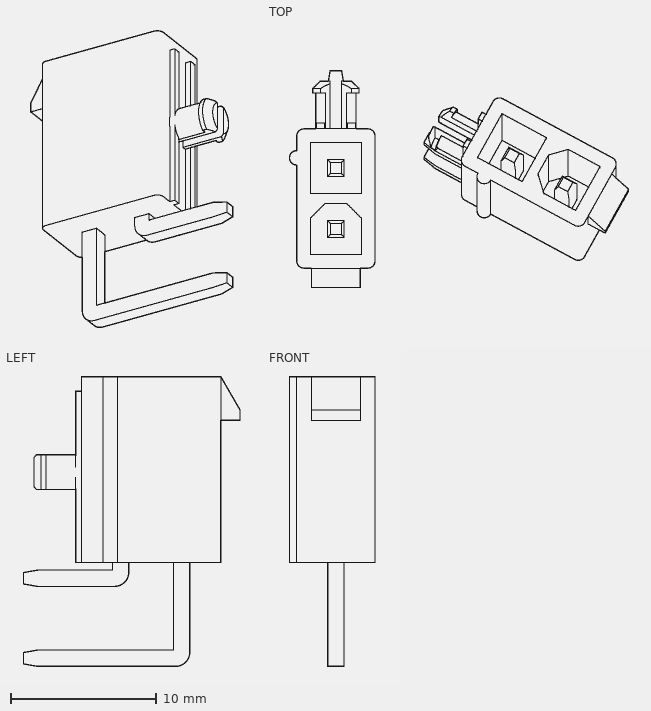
import cadquery as cq


HOUSING_WIDTH = 5.4
HOUSING_DEPTH = 9.6
HOUSING_HEIGHT = 12.8
CORNER_RADIUS = 0.5
BACK_Y = HOUSING_DEPTH / 2
FRONT_Y = -HOUSING_DEPTH / 2

CONTACT_PITCH = 4.2
REAR_CONTACT_Y = CONTACT_PITCH / 2
FRONT_CONTACT_Y = -CONTACT_PITCH / 2
CAVITY_SIZE = 3.5
CAVITY_DEPTH = 10.0
CAVITY_CHAMFER = 1.0

SIDE_RIB_RADIUS = 0.5
SIDE_RIB_SETBACK = 2.0
SIDE_RIB_Y = BACK_Y - SIDE_RIB_SETBACK

LATCH_WIDTH = 3.36
LATCH_PROJECTION = 1.33
LATCH_HEIGHT = 3.0
LATCH_NOSE_HEIGHT = 0.7

STANDOFF_INNER_X = 0.8
STANDOFF_OUTER_X = 1.35
STANDOFF_PROJECTION = 0.4
STANDOFF_HEIGHT = 11.8

PEG_Z = 6.23
PEG_SHANK_RADIUS = 1.4
PEG_HEAD_RADIUS = 1.6
PEG_TIP_RADIUS = 1.08
PEG_LENGTH = 3.27
PEG_HEAD_LENGTH = 0.82
PEG_TAPER_LENGTH = 0.5
PEG_FLAT_HEIGHT = 2.4
PEG_SLOT_WIDTH = 0.8

PIN_SIZE = 1.14
PIN_BEND_RADIUS = 1.0
PIN_RECESS = 3.0
PIN_TOP_Z = HOUSING_HEIGHT - PIN_RECESS
PIN_TOP_SIZE = 0.74
PIN_TOP_TAPER = 1.0
PIN_TAIL_OVERHANG = 4.0
PIN_TAIL_END_Y = BACK_Y + PIN_TAIL_OVERHANG
PIN_TAIL_SIZE = 0.8
PIN_TAIL_TAPER = 1.0
REAR_PIN_BOTTOM_Z = -1.64
TAIL_PITCH = 5.5
FRONT_PIN_BOTTOM_Z = REAR_PIN_BOTTOM_Z - TAIL_PITCH


def make_cavity(contact_y):
    """Square cavity centred on a contact."""
    return (
        cq.Workplane("XY", origin=(0, contact_y, HOUSING_HEIGHT - CAVITY_DEPTH))
        .rect(CAVITY_SIZE, CAVITY_SIZE)
        .extrude(CAVITY_DEPTH)
    )


def make_housing():
    """Rounded block with a plain rear cavity and a keyed front cavity."""
    block = (
        cq.Workplane("XY")
        .rect(HOUSING_WIDTH, HOUSING_DEPTH)
        .extrude(HOUSING_HEIGHT)
        .edges("|Z")
        .fillet(CORNER_RADIUS)
    )
    side_rib = (
        cq.Workplane("XY", origin=(-HOUSING_WIDTH / 2, SIDE_RIB_Y, 0))
        .circle(SIDE_RIB_RADIUS)
        .extrude(HOUSING_HEIGHT)
    )
    rear_cavity = make_cavity(REAR_CONTACT_Y)
    front_cavity = make_cavity(FRONT_CONTACT_Y).faces(">Y").edges("|Z").chamfer(CAVITY_CHAMFER)
    return block.union(side_rib).cut(rear_cavity).cut(front_cavity)


def make_latch():
    """Ramp that starts at the top front edge and ends in a blunt nose."""
    nose_y = FRONT_Y - LATCH_PROJECTION
    latch_bottom_z = HOUSING_HEIGHT - LATCH_HEIGHT
    return (
        cq.Workplane("YZ")
        .moveTo(FRONT_Y, HOUSING_HEIGHT)
        .lineTo(nose_y, latch_bottom_z + LATCH_NOSE_HEIGHT)
        .lineTo(nose_y, latch_bottom_z)
        .lineTo(FRONT_Y, latch_bottom_z)
        .close()
        .extrude(LATCH_WIDTH / 2, both=True)
    )


def make_standoffs():
    """Two upright ribs, mirrored about the middle of the back face."""
    rib_width = STANDOFF_OUTER_X - STANDOFF_INNER_X
    rib = (
        cq.Workplane("XY", origin=(STANDOFF_INNER_X, BACK_Y, 0))
        .box(rib_width, STANDOFF_PROJECTION, STANDOFF_HEIGHT, centered=False)
    )
    return rib.union(rib.mirror("YZ"))


def make_peg():
    """Turned peg along Y with a tapered head, two flats and a vertical slot."""
    head_start = PEG_LENGTH - PEG_HEAD_LENGTH
    taper_start = PEG_LENGTH - PEG_TAPER_LENGTH
    turned = (
        cq.Workplane("XY")
        .lineTo(PEG_SHANK_RADIUS, 0)
        .lineTo(PEG_SHANK_RADIUS, head_start)
        .lineTo(PEG_HEAD_RADIUS, head_start)
        .lineTo(PEG_HEAD_RADIUS, taper_start)
        .lineTo(PEG_TIP_RADIUS, PEG_LENGTH)
        .lineTo(0, PEG_LENGTH)
        .close()
        .revolve(360, (0, 0, 0), (0, 1, 0))
    )
    centred_across = (True, False, True)
    flats = cq.Workplane("XY").box(
        2 * PEG_HEAD_RADIUS, PEG_LENGTH, PEG_FLAT_HEIGHT, centered=centred_across
    )
    slot = cq.Workplane("XY").box(
        PEG_SLOT_WIDTH, PEG_LENGTH, PEG_FLAT_HEIGHT, centered=centred_across
    )
    return turned.intersect(flats).cut(slot).translate((0, BACK_Y, PEG_Z))


def make_taper(start_plane, end_size, length):
    """Square taper from the pin section down to a smaller square."""
    return (
        start_plane.rect(PIN_SIZE, PIN_SIZE)
        .workplane(offset=length)
        .rect(end_size, end_size)
        .loft(ruled=True)
    )


def make_pin(contact_y, bottom_z):
    """L-shaped pin: upright through the housing, tail running towards the back."""
    front_y = contact_y - PIN_SIZE / 2
    rear_y = contact_y + PIN_SIZE / 2
    tail_top_z = bottom_z + PIN_SIZE
    tail_taper_y = PIN_TAIL_END_Y - PIN_TAIL_TAPER
    top_taper_z = PIN_TOP_Z - PIN_TOP_TAPER
    bent_bar = (
        cq.Workplane("YZ")
        .moveTo(front_y, top_taper_z)
        .lineTo(front_y, bottom_z + PIN_BEND_RADIUS)
        .radiusArc((front_y + PIN_BEND_RADIUS, bottom_z), -PIN_BEND_RADIUS)
        .lineTo(tail_taper_y, bottom_z)
        .lineTo(tail_taper_y, tail_top_z)
        .lineTo(rear_y, tail_top_z)
        .lineTo(rear_y, top_taper_z)
        .close()
        .extrude(PIN_SIZE / 2, both=True)
    )
    top_plane = cq.Workplane("XY", origin=(0, contact_y, top_taper_z))
    tail_plane = cq.Workplane("ZX", origin=(0, tail_taper_y, bottom_z + PIN_SIZE / 2))
    top_point = make_taper(top_plane, PIN_TOP_SIZE, PIN_TOP_TAPER)
    tail_point = make_taper(tail_plane, PIN_TAIL_SIZE, PIN_TAIL_TAPER)
    return bent_bar.union(top_point).union(tail_point)


result = (
    make_housing()
    .union(make_latch())
    .union(make_standoffs())
    .union(make_peg())
    .union(make_pin(REAR_CONTACT_Y, REAR_PIN_BOTTOM_Z))
    .union(make_pin(FRONT_CONTACT_Y, FRONT_PIN_BOTTOM_Z))
)